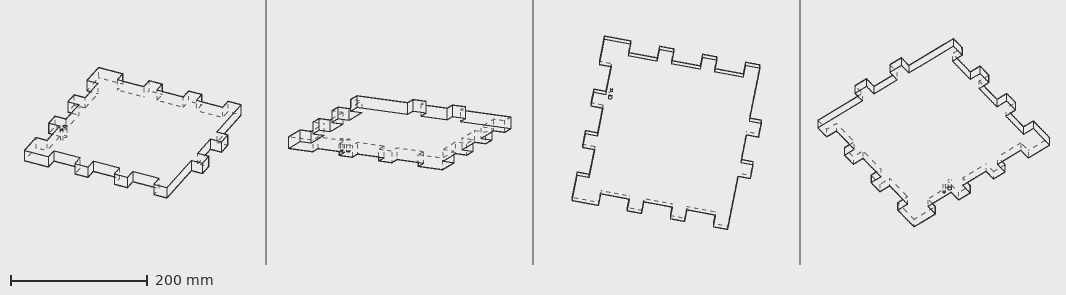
import cadquery as cq

panel_size = 250.0
thickness = 18.0

inner_length = panel_size - 2 * thickness
tab_width = inner_length / 10
gap_width = 2 * tab_width
gap_pitch = tab_width + gap_width
gap_count = 3
first_gap_start = thickness + tab_width

hole_x = 25.0
large_hole_y = 85.0
large_hole_diameter = 5.5
small_hole_y = 74.6
small_hole_diameter = 3.5


def block(x_start, y_start, x_length, y_length):
    """Full-thickness block placed by its lower left corner."""
    return cq.Workplane("XY").box(x_length, y_length, thickness, centered=False).translate((x_start, y_start, 0))


def cut_notches(panel):
    """Cut the finger-joint gaps into all four edges."""
    far_edge = panel_size - thickness
    for index in range(gap_count):
        start = first_gap_start + index * gap_pitch
        for edge in (0, far_edge):
            panel = panel.cut(block(start, edge, gap_width, thickness))
            panel = panel.cut(block(edge, start, thickness, gap_width))
    return panel


def cut_right_corners(panel):
    """Remove the right-hand strip beyond the end gaps, leaving only the two middle tabs."""
    right_edge = panel_size - thickness
    for y_start in (0, panel_size - first_gap_start):
        panel = panel.cut(block(right_edge, y_start, thickness, first_gap_start))
    return panel


def drill_hole(panel, y_position, diameter):
    """Drill a vertical through hole on the hole line."""
    drill = cq.Workplane("XY").center(hole_x, y_position).circle(diameter / 2).extrude(thickness)
    return panel.cut(drill)


result = block(0, 0, panel_size, panel_size)
result = cut_notches(result)
result = cut_right_corners(result)
result = drill_hole(result, large_hole_y, large_hole_diameter)
result = drill_hole(result, small_hole_y, small_hole_diameter)